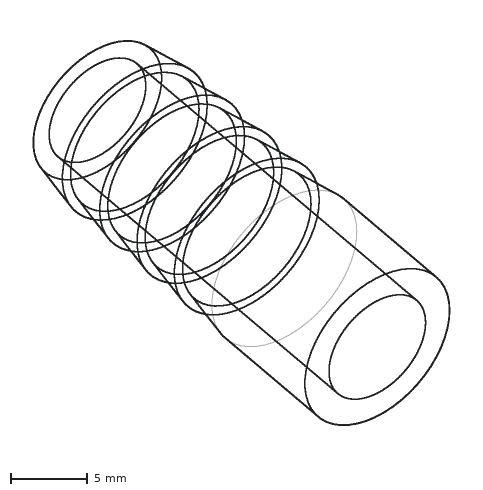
import cadquery as cq

total_length = 30.0
outer_diameter = 12.0
bore_diameter = 8.0

barb_count = 5
barbed_length = 20.0
barb_pitch = barbed_length / barb_count
barb_root_diameter = 10.65

outer_radius = outer_diameter / 2
bore_radius = bore_diameter / 2
barb_root_radius = barb_root_diameter / 2
start_x = -total_length / 2
end_x = total_length / 2


def half_section():
    """Wall profile in the XY plane, from the bore out to the barbs and plain sleeve."""
    profile = cq.Workplane("XY").moveTo(start_x, bore_radius)
    for index in range(barb_count):
        barb_start = start_x + index * barb_pitch
        profile = profile.lineTo(barb_start, barb_root_radius)
        profile = profile.lineTo(barb_start + barb_pitch, outer_radius)
    return profile.lineTo(end_x, outer_radius).lineTo(end_x, bore_radius).close()


result = half_section().revolve(360, (0, 0, 0), (1, 0, 0))